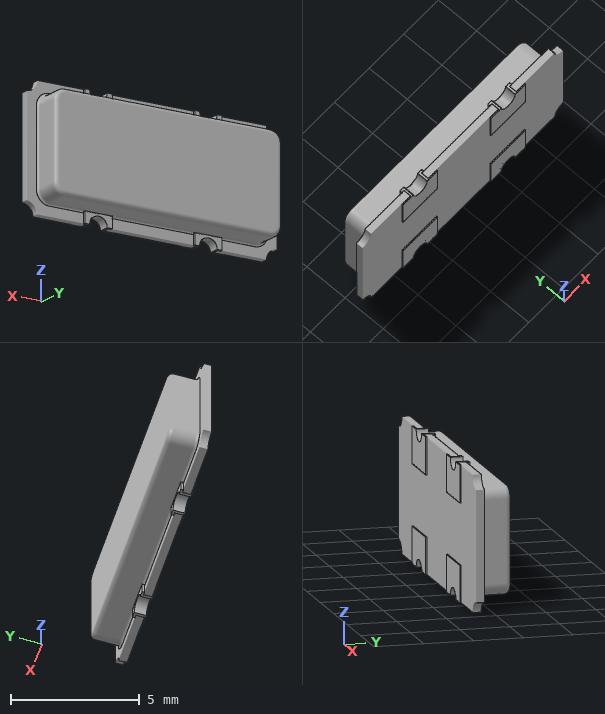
import cadquery as cq

base_length = 11.6
base_width = 5.5
total_height = 1.61
corner_notch_radius = 0.5
base_edge_fillet = 0.02

pad_pitch = 5.08
pad_length = 2.0
pad_width = 1.51
pad_thickness = 0.05
tube_outer_radius = 0.51
tube_wall = 0.11
lip_length = 1.26
lip_thickness = 0.1

base_thickness = 0.35
lid_margin = 0.56
lid_corner_radius = 0.5
lid_top_fillet = 0.2
lid_foot_radius = 0.1

base_bottom = pad_thickness
base_top = base_bottom + base_thickness
lid_height = total_height - base_top
lip_top = base_top + lip_thickness
tube_inner_radius = tube_outer_radius - tube_wall
lid_length = base_length - 2 * lid_margin
lid_width = base_width - 2 * lid_margin
half_length = base_length / 2
half_width = base_width / 2
castellations = [(x, side) for x in (-pad_pitch / 2, pad_pitch / 2) for side in (-1, 1)]


def plane_at(height):
    """Workplane whose local axes are X and Z, at a height along Y.

    Its normal is -Y, so a negative extrusion rises toward +Y.
    """
    return cq.Workplane("XZ", origin=(0, height, 0))


def block(length, width, bottom, height):
    """Box centred on X and Z, rising from a height along Y."""
    return plane_at(bottom).rect(length, width).extrude(-height)


def disc(x, z, radius, bottom, height):
    """Round post centred at (x, z), rising from a height along Y."""
    return plane_at(bottom).center(x, z).circle(radius).extrude(-height)


def make_base():
    """Flat carrier with scooped corners and softened edges, notched half-round for each pad."""
    base = block(base_length, base_width, base_bottom, base_thickness)
    for x in (-half_length, half_length):
        for z in (-half_width, half_width):
            base = base.cut(disc(x, z, corner_notch_radius, base_bottom, base_thickness))
    base = base.edges().fillet(base_edge_fillet)
    for x, side in castellations:
        base = base.cut(disc(x, side * half_width, tube_outer_radius, base_bottom, base_thickness))
    return base


def make_pad(x, side):
    """Solder pad under the base, half-tube through the notch, and a lip on the base's top face."""
    edge = side * half_width
    plate = block(pad_length, pad_width, 0, pad_thickness)
    plate = plate.translate((x, 0, edge - side * pad_width / 2))
    tube = disc(x, edge, tube_outer_radius, 0, base_top)
    lip = block(lip_length, tube_outer_radius, base_top, lip_thickness)
    lip = lip.translate((x, 0, edge - side * tube_outer_radius / 2))
    inside_edge = block(base_length, base_width, 0, lip_top)
    bore = disc(x, edge, tube_inner_radius, 0, lip_top)
    return plate.union(tube).union(lip).intersect(inside_edge).cut(bore)


def make_lid_foot():
    """Concave flare all round the lid, wide at the base and tangent to the lid walls."""
    flare = 2 * lid_foot_radius
    foot = block(lid_length + flare, lid_width + flare, base_top, lid_foot_radius)
    foot = foot.edges("|Y").fillet(lid_corner_radius + lid_foot_radius)
    rim = foot.faces(">Y").wires().val()
    groove = (
        cq.Workplane("YZ", origin=(0, base_top + lid_foot_radius, (lid_width + flare) / 2))
        .circle(lid_foot_radius)
        .sweep(cq.Workplane(rim))
    )
    return foot.cut(groove)


def make_lid(pads):
    """Cover with rounded corners and top edge, relieved where the pad lips run under its foot."""
    lid = block(lid_length, lid_width, base_top, lid_height).edges("|Y").fillet(lid_corner_radius)
    lid = lid.faces(">Y").edges().fillet(lid_top_fillet)
    lid = lid.union(make_lid_foot())
    for pad in pads:
        lid = lid.cut(pad)
    return lid


base = make_base()
pads = [make_pad(x, side) for x, side in castellations]
lid = make_lid(pads)

result = cq.Compound.makeCompound([base.val(), lid.val(), *[pad.val() for pad in pads]])